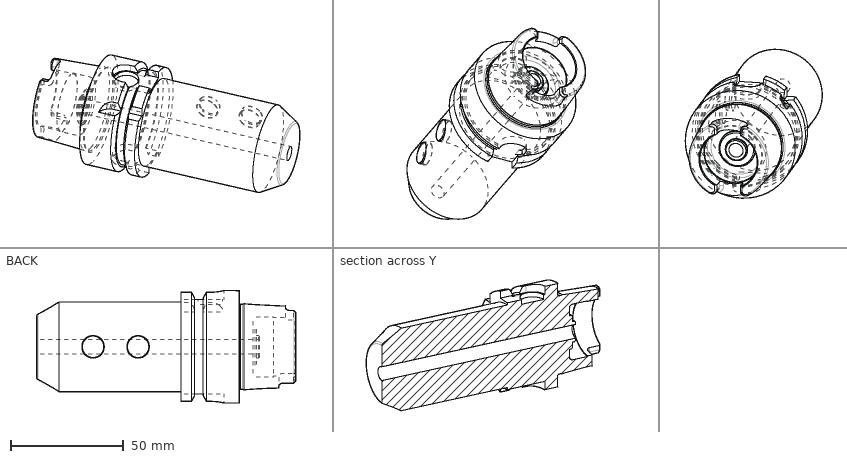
import cadquery as cq
import math


shank_length = 25.0
nose_length = 90.0
flange_length = 26.0

taper_mouth_radius = 18.0
taper_ratio = 0.05
taper_end_x = -2.0
mouth_round = 0.75
slot_edge_chamfer = 0.95
relief_radius = 37.9 / 2
relief_start_x = -1.3

undercut_start_x = -0.4
undercut_outer_radius = 20.35
undercut_floor_radius = 19.4
undercut_depth = 0.2

flange_radius = 25.0
groove_center_x = 18.0
groove_floor_width = 3.75
groove_floor_radius = 21.5
groove_cone_radius = 22.5
groove_cone_angle = 30.0

nose_radius = 20.0
tip_cone_length = 10.0
tip_cone_angle = 30.0
tip_round = 1.0

bore_radius = 13.0
bore_lip_length = 10.0
bore_relief_radius = 26.6 / 2
bore_mouth_chamfer = 0.4
bore_floor_x = -6.0
bore_floor_round = 1.3

nut_radius = 16.4 / 2
nut_height = 1.5
nut_chamfer = 0.6
tube_radius = 5.0
tube_height = 3.0
tube_chamfer = 0.5
coolant_radius = 3.2

slot_width = 10.54
slot_shoulder_z = 16.2
slot_shoulder_round = 2.2
slot_floor_round = 1.5
slot_opening_width = 30.0
slot_inner_z = 8.0
slot_outer_z = 22.0
top_slot_depth = 4.5
bottom_slot_depth = 7.5

keyway_width = 12.0
keyway_end_x = 12.8
keyway_floor_z = 21.0

chip_radius = 5.5
chip_x = 13.0
chip_floor_z = 18.8

notch_offset = 15.5

screw_hole_radius = 5.0
screw_radius = 9.5 / 2
screw_gap_depth = 3.0
screw_positions = (45.0, 65.0)


def revolve_profile(points):
    return cq.Workplane("XY").polyline(points).close().revolve(360, (0, 0, 0), (1, 0, 0))


def make_body():
    taper_end_radius = taper_mouth_radius + taper_ratio * (shank_length + taper_end_x)
    groove_left = groove_center_x - groove_floor_width / 2
    groove_right = groove_center_x + groove_floor_width / 2
    groove_flare = (flange_radius - groove_cone_radius) * math.tan(math.radians(groove_cone_angle))
    tip_radius = nose_radius - tip_cone_length * math.tan(math.radians(tip_cone_angle))
    return revolve_profile([
        (-shank_length, 0),
        (-shank_length, taper_mouth_radius),
        (taper_end_x, taper_end_radius),
        (relief_start_x, relief_radius),
        (undercut_start_x, relief_radius),
        (undercut_depth, undercut_floor_radius),
        (0, undercut_outer_radius),
        (0, flange_radius),
        (groove_left - groove_flare, flange_radius),
        (groove_left, groove_cone_radius),
        (groove_left, groove_floor_radius),
        (groove_right, groove_floor_radius),
        (groove_right, groove_cone_radius),
        (groove_right + groove_flare, flange_radius),
        (flange_length, flange_radius),
        (flange_length, nose_radius),
        (nose_length - tip_cone_length, nose_radius),
        (nose_length, tip_radius),
        (nose_length, 0),
    ]).faces(">X").edges().fillet(tip_round)


def make_slot_cutter(depth):
    """Slot on the +Z side: narrow between rounded shoulders, wide open above them."""
    half_width = slot_width / 2
    half_opening = slot_opening_width / 2
    round_start_z = slot_shoulder_z - slot_shoulder_round
    round_end_y = half_width + slot_shoulder_round
    return (
        cq.Workplane("YZ", origin=(-shank_length, 0, 0))
        .moveTo(-half_width, slot_inner_z)
        .lineTo(half_width, slot_inner_z)
        .lineTo(half_width, round_start_z)
        .radiusArc((round_end_y, slot_shoulder_z), slot_shoulder_round)
        .lineTo(half_opening, slot_shoulder_z)
        .lineTo(half_opening, slot_outer_z)
        .lineTo(-half_opening, slot_outer_z)
        .lineTo(-half_opening, slot_shoulder_z)
        .lineTo(-round_end_y, slot_shoulder_z)
        .radiusArc((-half_width, round_start_z), slot_shoulder_round)
        .close()
        .extrude(depth)
        .faces(">X")
        .edges()
        .fillet(slot_floor_round)
    )


def cut_driving_slots(body):
    top = make_slot_cutter(top_slot_depth)
    bottom = make_slot_cutter(bottom_slot_depth).rotate((0, 0, 0), (1, 0, 0), 180)
    return body.cut(top).cut(bottom)


def is_outer_rim(edge):
    return edge.geomType() == "CIRCLE" and edge.radius() > taper_mouth_radius - mouth_round


def break_mouth_edges(body):
    """Chamfer the slot edges, then round what is left of the outer rim."""
    body = body.faces("<X").edges().filter(lambda edge: not is_outer_rim(edge)).chamfer(slot_edge_chamfer)
    return body.faces("<X").edges().filter(is_outer_rim).fillet(mouth_round)


def cut_bore(body):
    bore = revolve_profile([
        (-shank_length, 0),
        (-shank_length, bore_radius + bore_mouth_chamfer),
        (-shank_length + bore_mouth_chamfer, bore_radius),
        (-shank_length + bore_lip_length, bore_radius),
        (-shank_length + bore_lip_length, bore_relief_radius),
        (bore_floor_x, bore_relief_radius),
        (bore_floor_x, 0),
    ]).faces(">X").edges().fillet(bore_floor_round)
    return body.cut(bore)


def make_boss(radius, height, chamfer):
    return (
        cq.Workplane("YZ", origin=(bore_floor_x - height, 0, 0))
        .circle(radius)
        .extrude(height)
        .faces("<X")
        .chamfer(chamfer)
    )


def add_coolant_tube(body):
    nut = make_boss(nut_radius, nut_height, nut_chamfer)
    tube = make_boss(tube_radius, tube_height, tube_chamfer)
    channel = (
        cq.Workplane("YZ", origin=(-shank_length, 0, 0))
        .circle(coolant_radius)
        .extrude(shank_length + nose_length)
    )
    return body.union(nut).union(tube).cut(channel)


def make_mill_path(center_y, floor_z):
    """Straight pass of the keyway cutter, from its round end out through the +X flange face."""
    pass_length = flange_length - keyway_end_x
    pass_height = flange_radius - floor_z
    start = cq.Workplane("XY", origin=(keyway_end_x, center_y, floor_z))
    end = start.circle(keyway_width / 2).extrude(pass_height)
    run = start.box(pass_length, keyway_width, pass_height, centered=(False, True, False))
    return end.union(run)


def cut_keyways(body):
    keyway = make_mill_path(0, keyway_floor_z)
    opposite = keyway.rotate((0, 0, 0), (1, 0, 0), 180)
    chip_pocket = (
        cq.Workplane("XY", origin=(chip_x, 0, chip_floor_z))
        .circle(chip_radius)
        .extrude(flange_radius - chip_floor_z)
    )
    return body.cut(keyway).cut(opposite).cut(chip_pocket)


def cut_orientation_notch(body):
    return body.cut(make_mill_path(-notch_offset - keyway_width / 2, notch_offset))


def add_clamping_screws(body):
    """Flat screw ends level with the crest of the nose, each in a narrow ring gap."""
    for x in screw_positions:
        mouth = cq.Workplane("XZ", origin=(x, nose_radius, 0))
        hole = mouth.circle(screw_hole_radius).extrude(screw_gap_depth)
        screw = mouth.circle(screw_radius).extrude(screw_gap_depth)
        body = body.cut(hole).union(screw)
    return body


result = make_body()
result = cut_driving_slots(result)
result = break_mouth_edges(result)
result = cut_bore(result)
result = add_coolant_tube(result)
result = cut_keyways(result)
result = cut_orientation_notch(result)
result = add_clamping_screws(result)